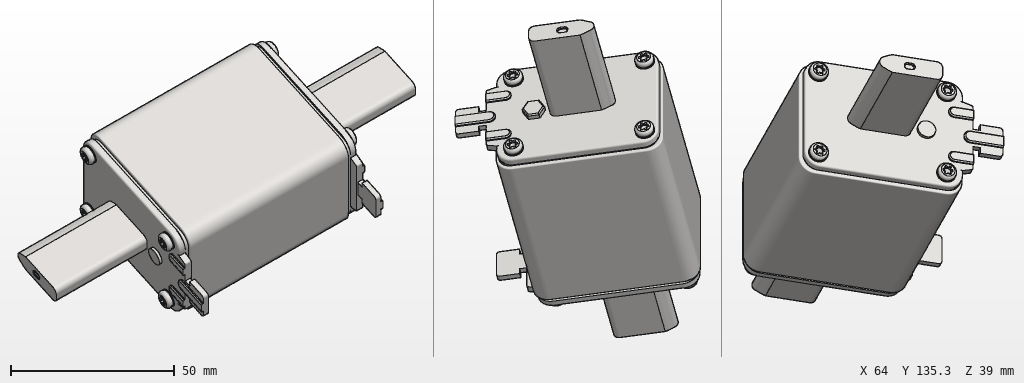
import cadquery as cq
import math

total_length = 135.3
total_width = 64.0

body_width = 52.1
body_height = 39.0
body_length = 59.8
body_corner = 5.1
body_edge_fillet = 0.4

body_end = body_length / 2
plate_inner = 31.1
plate_outer = 33.4
tab_head_inner = 31.5
bead_top = 34.2
marker_top = 34.4
button_top = 35.3

plate_inset_x = 0.8
plate_inset_z = 0.5
plate_width = body_width - 2 * plate_inset_x
plate_height = body_height - 2 * plate_inset_z
plate_corner = 5.0
plate_edge_fillet = 0.7
neck_inset = 0.8
neck_left = -plate_width / 2 + neck_inset
neck_right = plate_width / 2
neck_height = plate_height - 2 * neck_inset
neck_corner = plate_corner - neck_inset
neck_embed = 1.4

tab_root_start = 23.0
tab_root_end = plate_width / 2
tab_root_half = 12.3
tab_half = 11.4
tab_end = 28.4
tab_neck_half = 3.1
head_start = 30.7
head_end = total_width - body_width / 2
head_half = 5.1
tab_corner = 0.7
head_corner = 1.1

bead_bevel = 0.4
side_bead_offset = 8.0
side_bead_start = 20.5
side_bead_width = 3.5
middle_bead_start = 25.5
middle_bead_width = 4.0

blade_thickness = 6.4
blade_right = 8.5
blade_right_fillet = 2.0
blade_flat_left = -7.6
bevel_top = (-8.8, 2.7)
bevel_bottom = (-10.4, 1.9)
front_nose = -11.6
rear_nose = -11.9
slot_x = -2.0
slot_length = 3.0
slot_width = 1.8
slot_depth = 0.7
slot_bevel = 0.3

marker_x = 13.4
marker_radius = 2.8
button_across_corners = 7.0
button_chamfer = 0.4

screw_left = -21.1
screw_right = 19.8
screw_z = 14.5
screw_radius = 3.0
screw_seat_radius = 2.7
screw_top_radius = 2.2
flange_top = plate_outer + 0.3
head_widest = 34.4
dome_shoulder = (2.8, 35.2)
screw_top = 35.7
socket_core_radius = 1.1
lobe_count = 6
lobe_circle_radius = 1.2
lobe_radius = 0.4
socket_depth = 0.8
socket_cone_depth = 0.8


def end_plane(distance):
    """XZ plane at Y = -distance, facing outwards (-Y)."""
    return cq.Workplane("XZ", origin=(0, -distance, 0))


def slab(center_x, width, height, corner, inner, outer):
    """Rounded rectangle between two distances from the mid-plane."""
    return (
        end_plane(inner)
        .center(center_x, 0)
        .rect(width, height)
        .extrude(outer - inner)
        .edges("|Y")
        .fillet(corner)
    )


def make_body():
    body = slab(0, body_width, body_height, body_corner, -body_end, body_end)
    return body.faces("<Y or >Y").edges().fillet(body_edge_fillet)


def make_plate():
    plate = slab(0, plate_width, plate_height, plate_corner, plate_inner, plate_outer)
    plate = plate.faces("<Y").edges().fillet(plate_edge_fillet)
    neck_width = neck_right - neck_left
    neck_center = (neck_right + neck_left) / 2
    neck = slab(neck_center, neck_width, neck_height, neck_corner, body_end - neck_embed, plate_inner)
    return plate.union(neck)


def make_bead(start, end, center_z, width):
    """Bevelled rib with a round inner end, running out to the tab edge."""
    radius = width / 2
    bead = (
        end_plane(plate_outer - bead_bevel)
        .center(0, center_z)
        .moveTo(end, -radius)
        .lineTo(start + radius, -radius)
        .threePointArc((start, 0), (start + radius, radius))
        .lineTo(end, radius)
        .close()
        .extrude(bead_top - plate_outer + bead_bevel)
    )
    return bead.faces("<Y").edges("not >X").chamfer(bead_bevel)


def make_tab():
    upper_side = [
        (tab_root_start, tab_root_half),
        (tab_root_end, tab_root_half),
        (tab_end, tab_half),
    ]
    lower_side = [(x, -z) for x, z in reversed(upper_side)]
    base = end_plane(plate_inner).polyline(upper_side + lower_side).close()
    base = base.extrude(plate_outer - plate_inner).edges("|Y and >X").fillet(tab_corner)

    head_thickness = plate_outer - tab_head_inner
    head = (
        end_plane(tab_head_inner)
        .center((head_start + head_end) / 2, 0)
        .rect(head_end - head_start, 2 * head_half)
        .extrude(head_thickness)
        .edges("|Y and >X")
        .fillet(head_corner)
    )
    neck = (
        end_plane(tab_head_inner)
        .center((tab_root_end + head_end) / 2, 0)
        .rect(head_end - tab_root_end, 2 * tab_neck_half)
        .extrude(head_thickness)
    )
    tab = base.union(neck).union(head)
    for side in (-1, 1):
        tab = tab.union(make_bead(side_bead_start, tab_end, side * side_bead_offset, side_bead_width))
    return tab.union(make_bead(middle_bead_start, head_end, 0, middle_bead_width))


def make_blade(nose):
    """Contact blade with a blunt bevelled edge at -X and a rounded edge at +X."""
    top = blade_thickness / 2
    blade_end = total_length / 2
    round_start = blade_right - blade_right_fillet
    round_z = top - blade_right_fillet
    round_shift = blade_right_fillet * math.sqrt(0.5)
    round_mid = (round_start + round_shift, round_z + round_shift)
    blade = (
        end_plane(body_end)
        .moveTo(blade_flat_left, top)
        .lineTo(round_start, top)
        .threePointArc(round_mid, (blade_right, round_z))
        .lineTo(blade_right, -round_z)
        .threePointArc((round_mid[0], -round_mid[1]), (round_start, -top))
        .lineTo(blade_flat_left, -top)
        .lineTo(bevel_top[0], -bevel_top[1])
        .lineTo(bevel_bottom[0], -bevel_bottom[1])
        .threePointArc((nose, 0), bevel_bottom)
        .lineTo(*bevel_top)
        .close()
        .extrude(blade_end - body_end)
    )
    slot = (
        end_plane(blade_end - slot_depth)
        .center(slot_x, 0)
        .slot2D(slot_length, slot_width)
        .extrude(slot_depth)
    )
    mouth = (
        end_plane(blade_end)
        .center(slot_x, 0)
        .slot2D(slot_length + 2 * slot_bevel, slot_width + 2 * slot_bevel)
        .extrude(-slot_bevel, taper=45)
    )
    return blade.cut(slot).cut(mouth)


def make_screw(x, z):
    screw = (
        cq.Workplane("XY")
        .moveTo(0, -plate_inner)
        .lineTo(screw_radius, -plate_inner)
        .lineTo(screw_radius, -flange_top)
        .lineTo(screw_seat_radius, -flange_top)
        .lineTo(screw_radius, -head_widest)
        .threePointArc((dome_shoulder[0], -dome_shoulder[1]), (screw_top_radius, -screw_top))
        .lineTo(0, -screw_top)
        .close()
        .revolve(360, (0, 0, 0), (0, 1, 0))
    )
    floor = screw_top - socket_depth
    socket = end_plane(floor).circle(socket_core_radius).extrude(socket_depth)
    lobes = (
        end_plane(floor)
        .polarArray(lobe_circle_radius, 0, 360, lobe_count)
        .circle(lobe_radius)
        .extrude(socket_depth)
    )
    cone = (
        cq.Workplane("XY")
        .polyline([(0, -floor), (socket_core_radius, -floor), (0, socket_cone_depth - floor)])
        .close()
        .revolve(360, (0, 0, 0), (0, 1, 0))
    )
    return screw.cut(socket).cut(lobes).cut(cone).translate((x, 0, z))


def make_front_marker():
    """Round disc standing on the front plate."""
    disc_plane = end_plane(plate_inner).center(marker_x, 0)
    return disc_plane.circle(marker_radius).extrude(marker_top - plate_inner)


def make_rear_button():
    """Chamfered hexagon with two corners along X, made for the -Y end and mirrored with it."""
    button_plane = end_plane(plate_inner).center(marker_x, 0)
    button = button_plane.polygon(6, button_across_corners).extrude(button_top - plate_inner)
    return button.faces("<Y").chamfer(button_chamfer)


def make_end(nose, boss):
    """Everything that sits on the -Y end of the body."""
    end = make_plate().union(make_tab()).union(make_blade(nose)).union(boss)
    for x in (screw_left, screw_right):
        for z in (-screw_z, screw_z):
            end = end.union(make_screw(x, z))
    return end


front_end = make_end(front_nose, make_front_marker())
rear_end = make_end(rear_nose, make_rear_button()).mirror("XZ")

result = make_body().union(front_end).union(rear_end)